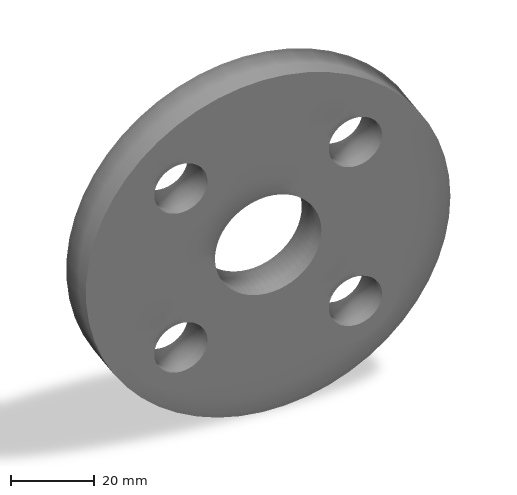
import cadquery as cq

FLANGE_DIAMETER = 96.0
THICKNESS = 11.0
BORE_DIAMETER = 28.0
BOLT_HOLE_DIAMETER = 14.0
BOLT_CIRCLE_DIAMETER = 65.0
BOLT_COUNT = 4
FIRST_BOLT_ANGLE = 45.0


def make_disc():
    """Disc with a central bore, from X = 0 to X = THICKNESS."""
    return (
        cq.Workplane("YZ")
        .circle(FLANGE_DIAMETER / 2)
        .circle(BORE_DIAMETER / 2)
        .extrude(THICKNESS)
    )


def make_bolt_holes():
    """Cylinders that cut the evenly spaced bolt holes through the disc."""
    return (
        cq.Workplane("YZ")
        .polarArray(BOLT_CIRCLE_DIAMETER / 2, FIRST_BOLT_ANGLE, 360, BOLT_COUNT)
        .circle(BOLT_HOLE_DIAMETER / 2)
        .extrude(THICKNESS)
    )


result = make_disc().cut(make_bolt_holes())